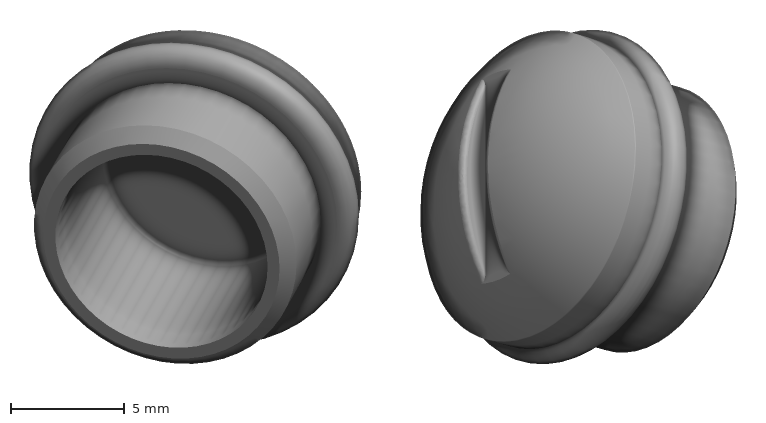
import cadquery as cq
import math

bead_diameter = 15.0
bead_section = 1.5
head_diameter = 14.0
shank_diameter = 12.0
bore_diameter = 9.7
shank_length = 4.41
shank_chamfer = 0.6
rim_end = 7.4
apex_height = 10.75
rim_fillet = 0.09
bore_depth = 7.5
bore_floor_fillet = 0.2
slot_width = 1.4
slot_floor = 9.35
slot_edge_fillet = 0.25
overall_length = 10.7
y_open = -overall_length / 2

bead_radius = bead_section / 2
bead_center_radius = bead_diameter / 2 - bead_radius
bead_center_height = shank_length + bead_radius
head_radius = head_diameter / 2
shank_radius = shank_diameter / 2
bead_end = bead_center_height + math.sqrt(bead_radius**2 - (head_radius - bead_center_radius) ** 2)
dome_height = apex_height - rim_end
dome_radius = (head_radius**2 + dome_height**2) / (2 * dome_height)
dome_center = apex_height - dome_radius
dome_mid_radius = head_radius / 2
dome_mid_height = dome_center + math.sqrt(dome_radius**2 - dome_mid_radius**2)


def make_body():
    """Revolve the chamfered shank, sealing bead, head and dome about Y."""
    body = (
        cq.Workplane("XY")
        .moveTo(0, 0)
        .lineTo(shank_radius - shank_chamfer, 0)
        .lineTo(shank_radius, shank_chamfer)
        .lineTo(shank_radius, shank_length)
        .lineTo(bead_center_radius, shank_length)
        .threePointArc((bead_diameter / 2, bead_center_height), (head_radius, bead_end))
        .lineTo(head_radius, rim_end)
        .threePointArc((dome_mid_radius, dome_mid_height), (0, apex_height))
        .close()
        .revolve(360, (0, 0, 0), (0, 1, 0))
    )
    rim = cq.selectors.BoxSelector(
        (-bead_diameter, rim_end - rim_fillet, -bead_diameter),
        (bead_diameter, rim_end + rim_fillet, bead_diameter),
        boundingbox=True,
    )
    return body.edges(rim).fillet(rim_fillet)


def make_bore():
    """Blind bore from the open end, with a rounded floor corner."""
    bore = cq.Workplane("XZ").circle(bore_diameter / 2).extrude(-bore_depth)
    return bore.faces(">Y").edges().fillet(bore_floor_fillet)


def cut_slot(body):
    """Cut the screwdriver slot along Z and round its two curved lips."""
    slot_depth = apex_height - slot_floor
    slot = cq.Workplane("XY").box(slot_width, 2 * slot_depth, bead_diameter)
    slotted = body.cut(slot.translate((0, apex_height, 0)))
    lips = cq.selectors.BoxSelector(
        (-slot_width, slot_floor + slot_edge_fillet, -bead_diameter),
        (slot_width, apex_height, bead_diameter),
    )
    return slotted.edges(lips).fillet(slot_edge_fillet)


plug = cut_slot(make_body()).cut(make_bore())
result = plug.translate((0, y_open, 0))